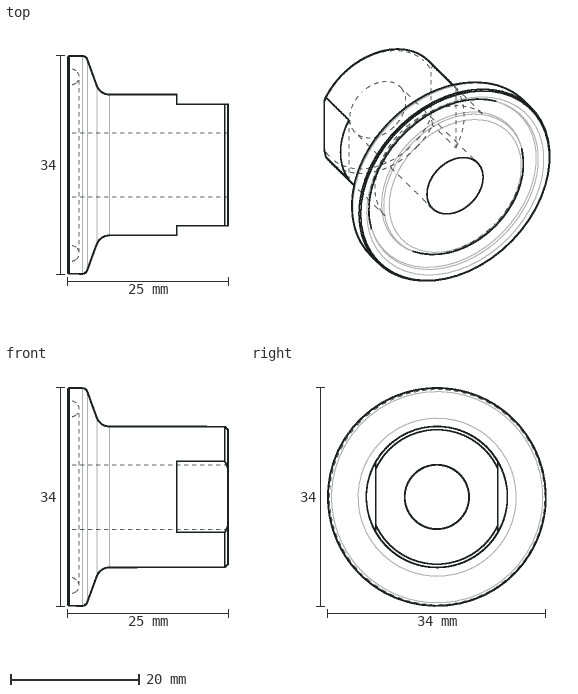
import cadquery as cq
import math

flange_radius = 17.0
length = 25.0
bore_radius = 5.0

rim_width = 2.85
cone_angle = math.radians(20)
rim_front_chamfer = 0.2
rim_back_fillet = 0.8
neck_fillet = 2.0

body_diameter = 22.0
body_radius = body_diameter / 2
end_chamfer = 0.5
flat_length = 8.0
across_flats = 19.0

groove_center_radius = 13.77
groove_half_width = 2.0
groove_bottom_radius = 1.22
groove_lip_radius = 0.75
groove_wall_angle = math.radians(70)


def fillet_circle(solid, x, radius, fillet):
    margin = 0.05
    reach = radius + margin
    selector = cq.selectors.BoxSelector(
        (x - margin, -reach, -reach), (x + margin, reach, reach), boundingbox=True
    )
    return solid.edges("%CIRCLE").edges(selector).fillet(fillet)


def make_turned_body():
    cone_length = (flange_radius - body_radius) * math.tan(cone_angle)
    neck_x = rim_width + cone_length
    profile = (
        cq.Workplane("XY")
        .moveTo(0, 0)
        .lineTo(0, flange_radius - rim_front_chamfer)
        .lineTo(rim_front_chamfer, flange_radius)
        .lineTo(rim_width, flange_radius)
        .lineTo(neck_x, body_radius)
        .lineTo(length - end_chamfer, body_radius)
        .lineTo(length, body_radius - end_chamfer)
        .lineTo(length, 0)
        .close()
    )
    body = profile.revolve(360, (0, 0, 0), (1, 0, 0))
    body = fillet_circle(body, rim_width, flange_radius, rim_back_fillet)
    return fillet_circle(body, neck_x, body_radius, neck_fillet)


def make_gasket_groove():
    sin_wall = math.sin(groove_wall_angle)
    cos_wall = math.cos(groove_wall_angle)
    sin_half = math.sin(groove_wall_angle / 2)
    cos_half = math.cos(groove_wall_angle / 2)

    lip_offset = groove_half_width - groove_lip_radius * sin_wall
    lip_depth = groove_lip_radius * (1 - cos_wall)
    bottom_offset = groove_bottom_radius * sin_wall
    wall_depth = (lip_offset - bottom_offset) * math.tan(groove_wall_angle)
    bottom_depth = lip_depth + wall_depth
    depth = bottom_depth + groove_bottom_radius * (1 - cos_wall)

    lip_mid_offset = groove_half_width - groove_lip_radius * sin_half
    lip_mid_depth = groove_lip_radius * (1 - cos_half)

    center = groove_center_radius
    profile = (
        cq.Workplane("XY")
        .moveTo(0, center + groove_half_width)
        .threePointArc((lip_mid_depth, center + lip_mid_offset), (lip_depth, center + lip_offset))
        .lineTo(bottom_depth, center + bottom_offset)
        .threePointArc((depth, center), (bottom_depth, center - bottom_offset))
        .lineTo(lip_depth, center - lip_offset)
        .threePointArc((lip_mid_depth, center - lip_mid_offset), (0, center - groove_half_width))
        .close()
    )
    return profile.revolve(360, (0, 0, 0), (1, 0, 0))


def make_bore():
    return cq.Workplane("YZ").circle(bore_radius).extrude(length)


def make_flat_cut(side):
    cut_depth = body_radius - across_flats / 2
    return (
        cq.Workplane("XY")
        .box(flat_length, cut_depth, body_diameter)
        .translate((length - flat_length / 2, side * (across_flats + cut_depth) / 2, 0))
    )


result = make_turned_body().cut(make_gasket_groove()).cut(make_bore())
for side in (-1, 1):
    result = result.cut(make_flat_cut(side))